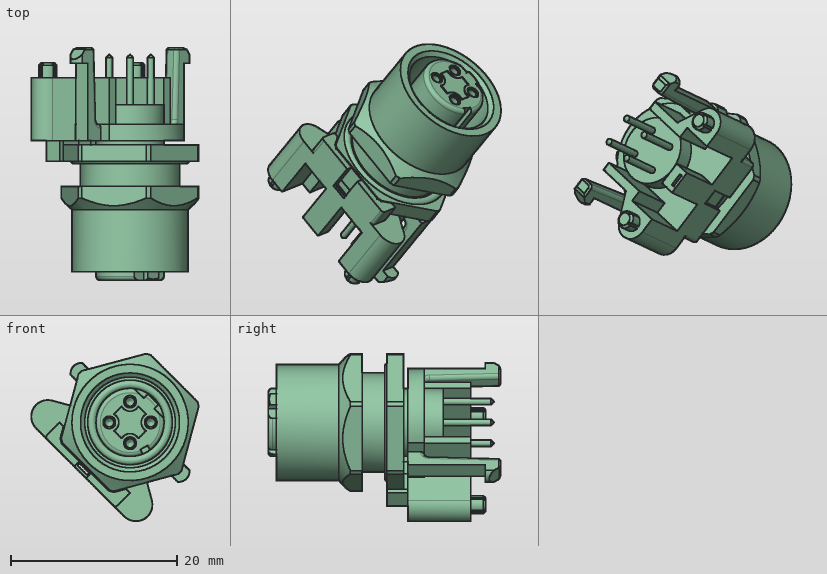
import math

import cadquery as cq

TURN_ABOUT_AXIS = 45.0

SHELL_FRONT = 1.0
NUT_FRONT = 8.5
NUT_CONE_END = 9.9
NUT_BACK = 11.3
FLANGE_FRONT = 14.3
FLANGE_BACK = 16.3
BASE_FRONT = 16.8
BASE_BACK = 18.8
CORE_BACK = 21.1
HOUSING_BACK = 24.4
CLIP_HOOK_Y = 26.1
LENGTH = 28.0

SHELL_R = 7.0
BODY_R = 6.0
BORE_R = 10.92 / 2
BORE_CHAMFER = 0.5
BORE_FLOOR = 8.0
SEAL_OUTER_R = 5.1
INSERT_R = 8.2 / 2
HEX_FLATS = 15.0
HEX_CORNER_R = 8.5
GASKET_R = 6.65
GASKET_SECTION_R = 0.55
GASKET_PROUD = 0.3

INSERT_FILLET = 0.5
KEY_FLAT_Z = 3.23
KEY_HALF_WIDTH = 0.9
KEY_TOP_Z = 3.95
POLARIZER_ANGLE = 16.0
POLARIZER_WIDTH = 1.0
POLARIZER_FLOOR_R = 3.45
CONTACT_PITCH_R = 2.5
CONTACT_ANGLES = (45, 135, 225, 315)
CONTACT_HOLE_D = 1.1
CONTACT_HOLE_DEPTH = 5.0
CONTACT_SEAT_D = 1.5
CONTACT_SEAT_DEPTH = 0.2
CENTRE_RECESS_SIDE = 4.15
CENTRE_RECESS_DEPTH = 0.1
CENTRE_RECESS_RELIEF_R = 1.15
PIN_D = 0.8
PIN_SHOULDER = 26.8
PIN_TIP = 27.2

EAR_X = 7.5
EAR_Z = -6.5
EAR_R = 2.0
FLANK_ANGLE = 30.0
FOOT_Z = EAR_Z - EAR_R
WALL_IN_X = INSERT_R
WALL_OUT_X = 5.2
WALL_TOP_Z = 1.68
BASE_R = 6.5
BASE_HALF_WIDTH = 6.0
NOTCH_OUT_X = 5.55
NOTCH_TOP_Z = -4.5
POST_HALF_WIDTH = 1.5
POST_TOP_Z = -6.46

PAD_HALF_WIDTH = 6.0
PAD_TOP_Z = -6.0
PAD_CORNER_R = 0.4
PAD_CLEARANCE = 0.12
SLOT_WIDTH = 2.0
SLOT_DEPTH = 0.8
SLOT_BACK = 17.6
WINDOW_WIDTH = 1.6
WINDOW_HEIGHT = 0.35
WINDOW_Z = -7.95

CLIP_WIDTH = 2.0
CLIP_OUT_X = 8.2
CLIP_TIP_IN_X = 6.9
CLIP_ROOT_IN_X = 6.6
CLIP_FILLET = 0.6
HOOK_CORNER_X = 9.15
HOOK_CROWN_X = 9.6
HOOK_RAMP_START = 26.6
HOOK_TIP_X = 8.5
CLIP_INNER_FILLET = 0.5
CLIP_TIP_CHAMFER = 0.25

PEG_D = 2.15
PEG_GROOVE_WIDTH = 0.3
PEG_GROOVE_DEPTH = 0.15
PEG_CHAMFER = 0.3
PEG_END = 26.2


def plane_at(y):
    """Cross-section plane at station y; local x and y are the part's x and z."""
    return cq.Workplane("XZ", origin=(0, y, 0))


def extrude_back(profile, y_start, y_end):
    return profile.extrude(y_start - y_end)


def cylinder(radius, y_start, y_end, x=0.0, z=0.0):
    return extrude_back(plane_at(y_start).center(x, z).circle(radius), y_start, y_end)


def box(x_min, x_max, y_min, y_max, z_min, z_max):
    size = (x_max - x_min, y_max - y_min, z_max - z_min)
    return cq.Workplane("XY").box(*size, centered=False).translate((x_min, y_min, z_min))


def revolve_about_y(points):
    """Solid of revolution from (radius, y) points."""
    return cq.Workplane("XY").polyline(points).close().revolve(360, (0, 0, 0), (0, 1, 0))


def ring(mean_radius, section_radius, y):
    section = cq.Workplane("XY").center(mean_radius, y).circle(section_radius)
    return section.revolve(360, (-mean_radius, 0, 0), (-mean_radius, 1, 0))


def hexagon(y_start, y_end, clearance=0.0):
    """Hexagon with flats at top and bottom and its corners turned down."""
    corner_diameter = (HEX_FLATS + 2 * clearance) / math.cos(math.radians(30))
    blank = extrude_back(plane_at(y_start).polygon(6, corner_diameter), y_start, y_end)
    return blank.intersect(cylinder(HEX_CORNER_R + clearance, y_start, y_end))


def contact_positions():
    for angle in CONTACT_ANGLES:
        a = math.radians(angle)
        yield CONTACT_PITCH_R * math.cos(a), CONTACT_PITCH_R * math.sin(a)


def shell():
    nut_envelope = revolve_about_y([
        (0, NUT_FRONT),
        (SHELL_R, NUT_FRONT),
        (HEX_CORNER_R, NUT_CONE_END),
        (HEX_CORNER_R, NUT_BACK),
        (0, NUT_BACK),
    ])
    nut = hexagon(NUT_FRONT, NUT_BACK).intersect(nut_envelope)
    gasket = ring(GASKET_R, GASKET_SECTION_R, FLANGE_FRONT + GASKET_SECTION_R - GASKET_PROUD)
    solid = (
        cylinder(SHELL_R, SHELL_FRONT, NUT_FRONT)
        .union(nut)
        .union(cylinder(BODY_R, NUT_BACK, FLANGE_FRONT))
        .union(hexagon(FLANGE_FRONT, FLANGE_BACK))
        .union(gasket)
        .union(cylinder(INSERT_R, FLANGE_BACK, CORE_BACK))
    )
    bore = revolve_about_y([
        (0, SHELL_FRONT),
        (BORE_R + BORE_CHAMFER, SHELL_FRONT),
        (BORE_R, SHELL_FRONT + BORE_CHAMFER),
        (BORE_R, BORE_FLOOR),
        (0, BORE_FLOOR),
    ])
    seal = ring((SEAL_OUTER_R + INSERT_R) / 2, (SEAL_OUTER_R - INSERT_R) / 2, BORE_FLOOR)
    return solid.cut(bore).union(seal)


def insert():
    solid = cylinder(INSERT_R, 0, BORE_FLOOR).faces("<Y").edges().fillet(INSERT_FILLET)
    key_flat = box(-INSERT_R, INSERT_R, 0, BORE_FLOOR, KEY_FLAT_Z, INSERT_R)
    key = box(-KEY_HALF_WIDTH, KEY_HALF_WIDTH, 0, BORE_FLOOR, KEY_FLAT_Z, KEY_TOP_Z)
    half_polarizer = POLARIZER_WIDTH / 2
    polarizer = box(POLARIZER_FLOOR_R, SHELL_R, 0, BORE_FLOOR, -half_polarizer, half_polarizer)
    polarizer = polarizer.rotate((0, 0, 0), (0, 1, 0), POLARIZER_ANGLE)
    solid = solid.cut(key_flat.cut(key)).cut(polarizer)

    recess = plane_at(0).rect(CENTRE_RECESS_SIDE, CENTRE_RECESS_SIDE)
    recess = extrude_back(recess, 0, CENTRE_RECESS_DEPTH)
    for x, z in contact_positions():
        recess = recess.cut(cylinder(CENTRE_RECESS_RELIEF_R, 0, CENTRE_RECESS_DEPTH, x, z))
    solid = solid.cut(recess)
    for x, z in contact_positions():
        hole_r = CONTACT_HOLE_D / 2
        hole = revolve_about_y([
            (0, 0),
            (CONTACT_SEAT_D / 2, 0),
            (CONTACT_SEAT_D / 2, CONTACT_SEAT_DEPTH),
            (hole_r, CONTACT_SEAT_DEPTH),
            (hole_r, CONTACT_HOLE_DEPTH),
            (0, CONTACT_HOLE_DEPTH + hole_r),
        ])
        solid = solid.cut(hole.translate((x, 0, z)))
    return solid


def pins():
    pin_r = PIN_D / 2
    pin = revolve_about_y([
        (0, BASE_BACK),
        (pin_r, BASE_BACK),
        (pin_r, PIN_SHOULDER),
        (0, PIN_TIP),
    ])
    solids = cq.Workplane("XY")
    for x, z in contact_positions():
        solids = solids.add(pin.translate((x, 0, z)))
    return solids.combine()


def eared_profile(y, half_width, top_z):
    """Foot outline: flat bottom, round ears, sloped flanks and straight upright sides."""
    slope = math.radians(FLANK_ANGLE)
    tangent_x = EAR_X + EAR_R * math.sin(slope)
    tangent_z = EAR_Z + EAR_R * math.cos(slope)
    flank_end_z = tangent_z + (tangent_x - half_width) * math.tan(slope)
    mid_angle = -slope / 2
    mid_x = EAR_X + EAR_R * math.cos(mid_angle)
    mid_z = EAR_Z + EAR_R * math.sin(mid_angle)
    return (
        plane_at(y)
        .moveTo(-EAR_X, FOOT_Z)
        .lineTo(EAR_X, FOOT_Z)
        .threePointArc((mid_x, mid_z), (tangent_x, tangent_z))
        .lineTo(half_width, flank_end_z)
        .lineTo(half_width, top_z)
        .lineTo(-half_width, top_z)
        .lineTo(-half_width, flank_end_z)
        .lineTo(-tangent_x, tangent_z)
        .threePointArc((-mid_x, mid_z), (-EAR_X, FOOT_Z))
        .close()
    )


def housing():
    disc_edge_z = math.sqrt(BASE_R**2 - BASE_HALF_WIDTH**2)
    base = extrude_back(eared_profile(BASE_FRONT, BASE_HALF_WIDTH, disc_edge_z), BASE_FRONT, BASE_BACK)
    disc_sides = box(-BASE_HALF_WIDTH, BASE_HALF_WIDTH, BASE_FRONT, BASE_BACK, -BASE_R, BASE_R)
    base = base.union(cylinder(BASE_R, BASE_FRONT, BASE_BACK).intersect(disc_sides))

    walls = extrude_back(eared_profile(BASE_BACK, WALL_OUT_X, WALL_TOP_Z), BASE_BACK, HOUSING_BACK)
    pocket = box(-WALL_IN_X, WALL_IN_X, BASE_BACK, HOUSING_BACK, FOOT_Z, WALL_TOP_Z)
    notches = box(-NOTCH_OUT_X, NOTCH_OUT_X, BASE_BACK, HOUSING_BACK, FOOT_Z, NOTCH_TOP_Z)
    post = box(-POST_HALF_WIDTH, POST_HALF_WIDTH, BASE_BACK, HOUSING_BACK, FOOT_Z, POST_TOP_Z)
    return base.union(walls.cut(pocket).cut(notches)).union(post)


def front_pad():
    pad = box(-PAD_HALF_WIDTH, PAD_HALF_WIDTH, FLANGE_FRONT, BASE_FRONT, FOOT_Z, PAD_TOP_Z)
    pad = pad.edges("|Y and <Z").fillet(PAD_CORNER_R)
    return pad.cut(hexagon(FLANGE_FRONT, BASE_FRONT, PAD_CLEARANCE))


def pad_openings():
    half_slot = SLOT_WIDTH / 2
    half_window = WINDOW_WIDTH / 2
    slot = box(-half_slot, half_slot, FLANGE_FRONT, SLOT_BACK, FOOT_Z, FOOT_Z + SLOT_DEPTH)
    window_bottom = WINDOW_Z - WINDOW_HEIGHT / 2
    window_top = WINDOW_Z + WINDOW_HEIGHT / 2
    window = box(-half_window, half_window, FLANGE_FRONT, HOUSING_BACK, window_bottom, window_top)
    return slot.union(window)


def clip():
    """Snap clip on the +x side, with a hook that bulges outward."""
    half_width = CLIP_WIDTH / 2
    root_y = BASE_BACK + CLIP_FILLET
    side_outline = (
        cq.Workplane("XY", origin=(0, 0, -half_width))
        .moveTo(WALL_OUT_X, BASE_FRONT)
        .lineTo(CLIP_OUT_X, BASE_FRONT)
        .lineTo(CLIP_OUT_X, LENGTH)
        .lineTo(CLIP_TIP_IN_X, LENGTH)
        .lineTo(CLIP_ROOT_IN_X, root_y)
        .radiusArc((CLIP_ROOT_IN_X - CLIP_FILLET, BASE_BACK), CLIP_FILLET)
        .lineTo(WALL_OUT_X, BASE_BACK)
        .close()
    )
    arm = side_outline.extrude(CLIP_WIDTH)
    inner_face_x = (CLIP_TIP_IN_X + CLIP_ROOT_IN_X) / 2
    inner_face_y = (LENGTH + root_y) / 2
    for side_z in (-half_width, half_width):
        inner_edge = cq.selectors.NearestToPointSelector((inner_face_x, inner_face_y, side_z))
        arm = arm.edges(inner_edge).fillet(CLIP_INNER_FILLET)
    hook = (
        plane_at(CLIP_HOOK_Y)
        .moveTo(CLIP_OUT_X, -half_width)
        .lineTo(HOOK_CORNER_X, -half_width)
        .threePointArc((HOOK_CROWN_X, 0), (HOOK_CORNER_X, half_width))
        .lineTo(CLIP_OUT_X, half_width)
        .close()
    )
    hook = extrude_back(hook, CLIP_HOOK_Y, LENGTH)
    ramp = (
        cq.Workplane("XY", origin=(0, 0, -half_width))
        .moveTo(HOOK_CROWN_X, HOOK_RAMP_START)
        .lineTo(HOOK_CROWN_X, LENGTH)
        .lineTo(HOOK_TIP_X, LENGTH)
        .close()
        .extrude(CLIP_WIDTH)
    )
    return arm.union(hook.cut(ramp)).faces(">Y").edges().chamfer(CLIP_TIP_CHAMFER)


def peg():
    """Round peg on the +x ear with a chamfered tip and four shallow lengthwise grooves."""
    peg_r = PEG_D / 2
    solid = cylinder(peg_r, HOUSING_BACK, PEG_END).faces(">Y").edges().chamfer(PEG_CHAMFER)
    half_groove = PEG_GROOVE_WIDTH / 2
    groove = box(peg_r - PEG_GROOVE_DEPTH, peg_r, HOUSING_BACK, PEG_END, -half_groove, half_groove)
    for quarter in range(4):
        solid = solid.cut(groove.rotate((0, 0, 0), (0, 1, 0), 90 * quarter))
    return solid.translate((EAR_X, 0, EAR_Z))


def on_both_sides(solid):
    return solid.union(solid.mirror("YZ"))


part = shell().union(insert()).union(housing()).union(front_pad())
part = part.cut(pad_openings())
part = part.union(pins()).union(on_both_sides(clip())).union(on_both_sides(peg()))

result = part.rotate((0, 0, 0), (0, 1, 0), TURN_ABOUT_AXIS)